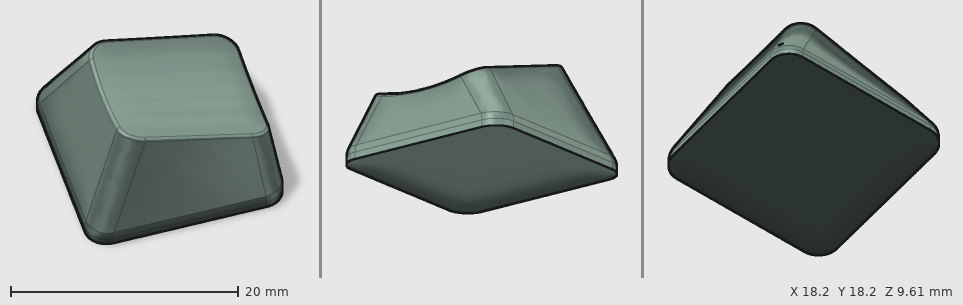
import cadquery as cq
import math

base_size = 18.16
corner_radius = 2.0
skirt_height = 0.65

shoulder_height = 0.65
side_lean = 0.38
front_lean = 0.458
back_lean = 0.094

dish_radius = 22.7
dish_slope = 0.296
dish_height = 7.68
dish_length = 36.32
rim_radius = 0.3

top_width = 11.55
top_front_y = -4.8
top_back_y = 8.57
top_height = 8.9


def rounded_wire(plane, width, depth):
    """Closed rounded rectangle centred on the origin of the given plane."""
    outline = cq.Workplane("XY").rect(width, depth).extrude(0.18).edges("|Z").fillet(corner_radius)
    wire = outline.faces("<Z").val().outerWire()
    return wire.moved(cq.Location(plane))


def shoulder_wire(fraction):
    """Level outline at a fraction of the shoulder height.

    The walls follow a parabola that starts upright and ends at their full lean.
    """
    inset = shoulder_height / 2 * fraction**2
    plane = cq.Plane(
        origin=(0, (front_lean - back_lean) * inset / 2, skirt_height + shoulder_height * fraction)
    )
    width = base_size - 2 * side_lean * inset
    depth = base_size - (front_lean + back_lean) * inset
    return rounded_wire(plane, width, depth)


def top_wire():
    """Tilted construction outline above the dish."""
    center_y = (top_front_y + top_back_y) / 2
    plane = cq.Plane(
        origin=(0, center_y, top_height - dish_slope * center_y),
        xDir=(1, 0, 0),
        normal=(0, dish_slope, 1),
    )
    depth = (top_back_y - top_front_y) * math.hypot(1, dish_slope)
    return rounded_wire(plane, top_width, depth)


def make_dish_cutter():
    """Half cylinder whose lowest line is the valley of the top."""
    tilt = math.degrees(math.atan(dish_slope))
    cutter = (
        cq.Workplane("XZ")
        .moveTo(-dish_radius, dish_radius)
        .threePointArc((0, 0), (dish_radius, dish_radius))
        .close()
        .extrude(dish_length / 2, both=True)
    )
    return cutter.rotate((0, 0, 0), (1, 0, 0), -tilt).translate((0, 0, dish_height))


skirt = cq.Solid.extrudeLinear(shoulder_wire(0), [], cq.Vector(0, 0, -skirt_height))
shoulder = cq.Solid.makeLoft([shoulder_wire(0), shoulder_wire(0.5), shoulder_wire(1)])
walls = cq.Solid.makeLoft([shoulder_wire(1), top_wire()], True)
body = cq.Workplane(skirt).union(cq.Workplane(shoulder)).union(cq.Workplane(walls))

dished_body = body.cut(make_dish_cutter())
result = dished_body.faces(">Z").edges().fillet(rim_radius)